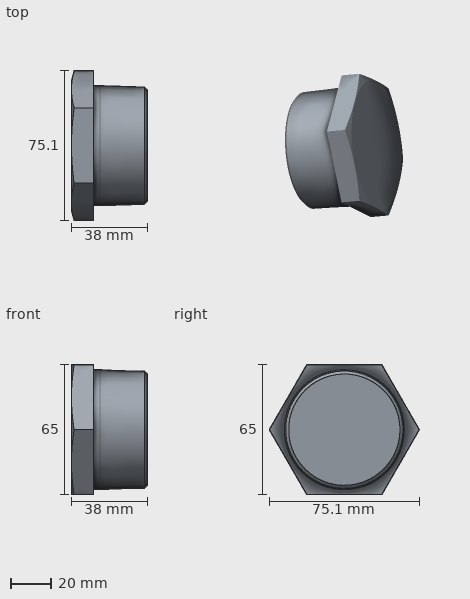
import cadquery as cq
import math

across_corners = 75.05
total_length = 38.0
head_length = 11.1
face_diameter = 64.55
head_chamfer_angle = 15.0
collar_diameter = 60.05
collar_length = 3.3
taper_ratio = 1 / 16
tip_chamfer = 1.5

corner_radius = across_corners / 2
face_radius = face_diameter / 2
collar_radius = collar_diameter / 2
collar_end = head_length + collar_length
taper_end = total_length - tip_chamfer
taper_end_radius = collar_radius - taper_ratio * (taper_end - collar_end) / 2
chamfer_depth = (corner_radius - face_radius) * math.tan(math.radians(head_chamfer_angle))


def revolve_about_x(points):
    """Solid of revolution from (axial position, radius) points."""
    return cq.Workplane("XY").polyline(points).close().revolve(360, (0, 0, 0), (1, 0, 0))


def hexagon_head():
    """Hexagon with corners on Y, its outer corners turned off by a shallow cone."""
    prism = cq.Workplane("YZ").polygon(6, across_corners).extrude(head_length)
    turned_envelope = revolve_about_x([
        (0, 0),
        (0, face_radius),
        (chamfer_depth, corner_radius),
        (head_length, corner_radius),
        (head_length, 0),
    ])
    return prism.intersect(turned_envelope)


def tapered_shank():
    """Straight collar, then a slight taper ending in a chamfered tip."""
    return revolve_about_x([
        (head_length, 0),
        (head_length, collar_radius),
        (collar_end, collar_radius),
        (taper_end, taper_end_radius),
        (total_length, taper_end_radius - tip_chamfer),
        (total_length, 0),
    ])


result = hexagon_head().union(tapered_shank())